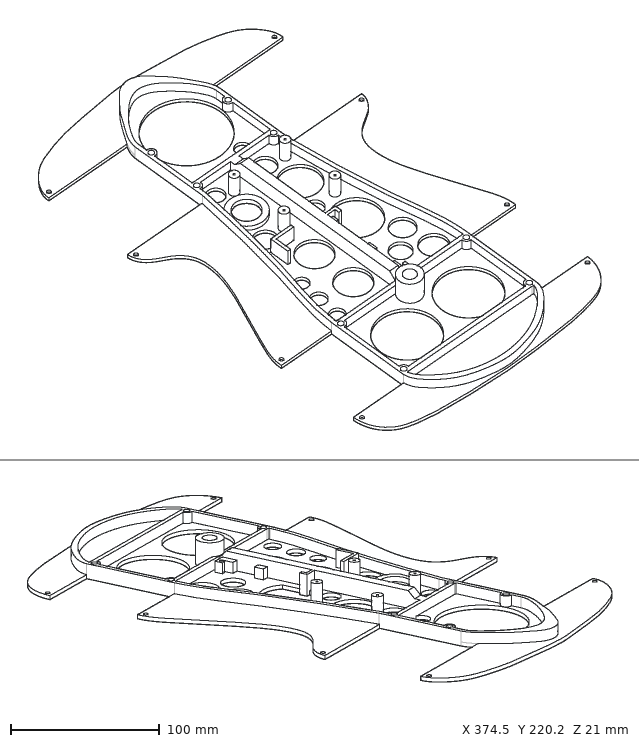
import cadquery as cq
length = 374.5
width = 220.0
plate_top = 3.0
pad_top = 6.7
rail_top = 11.0
spine_top = 15.7
post_top = 20.0
boss_top = 21.0

rear_end = -length / 2
front_end = length / 2
half_width = width / 2

rail_wall = 3.5
rear_half_width = 40.0
front_half_width = 63.0
taper_start_x = -68.0
taper_end_x = 79.5
taper_rises = [(-28.0, 5.0), (30.0, 15.0), (56.0, 20.5)]
rail_nose_x = -182.5
nose_start_x = -133.3
rail_bow_x = 185.7
nose_thickness = 11.2
bow_thickness = 4.5

rear_wing_edge_x = -144.5
mid_wing_rear_x = -69.0
mid_wing_front_x = 79.5
front_wing_edge_x = 148.5

pillar_diameter = 8.0
pillar_hole_diameter = 4.5
rear_pillar_xs = (-121.5, -78.0)
front_pillar_xs = (84.2, 145.0)
rear_cross_wall_x = -81.5
mid_cross_wall_x = 80.5
front_cross_wall_x = front_wing_edge_x - rail_wall
spine_thickness = 8.0
spine_rear_slope = (-74.0, -69.0)
spine_front_slope = (75.0, 79.7)

post_diameter = 8.0
post_hole_diameter = 1.4
post_hole_depth = 7.5
post_pitch = 48.0
post_center = (-37.5, 6.93)
boss_x = 90.2
boss_diameter = 19.5
boss_hole_diameter = 10.0
pad_diameter = 30.7
pad_pocket_diameter = 26.2
pad_center = (-40.5, -26.0)
corner_x, corner_y = -3.0, -39.5
corner_leg_x, corner_leg_y = 16.5, 19.0
corner_wall = 2.5

clip_rear_x, clip_front_x = 5.0, 78.0
clip_outer_y = 13.5
clip_slot = (9.0, 11.0)
clip_arm_wall = 2.2
clip_arm_length = 6.0
clip_rear_foot_length = 7.5
clip_front_foot_length = 11.5
stop_x, stop_length = 42.3, 7.0

tip_hole_diameter = 3.2
tip_hole_depth = 2.0
tip_hole_inset = 4.0

openings = [
    (*pad_center, 21.0),
    (-124.5, 0, 64.0),
    (-87.2, 16.0, 12.0),
    (-65.0, 15.7, 17.2),
    (-37.8, 22.0, 32.0),
    (-13.0, 12.0, 13.5),
    (42.0, 40.5, 19.5),
    (68.5, 43.8, 21.7),
    (57.0, 24.0, 17.0),
    (-67.8, -28.0, 14.0),
    (-14.2, -33.7, 18.0),
    (18.7, -20.0, 27.7),
    (56.0, -20.0, 27.7),
    (32.5, -45.3, 11.2),
    (51.3, -47.5, 12.7),
    (70.8, -49.0, 12.0),
    (117.0, 29.0, 49.0),
    (117.0, -29.0, 49.0),
]
flat_opening_x, flat_opening_y, flat_opening_diameter = 13.5, 24.7, 38.0
flat_opening_edge_y = 10.5


def box(x0, x1, y0, y1, z1):
    """Block standing on the underside level, up to height z1."""
    return cq.Workplane("XY").box(x1 - x0, y1 - y0, z1, centered=False).translate((x0, y0, 0))


def rod(x, y, diameter, z0, z1):
    return cq.Workplane("XY", origin=(x, y, z0)).circle(diameter / 2).extrude(z1 - z0)


def mirrored(points):
    """Same points on the -Y side, in reverse order."""
    return [(x, -y) for x, y in reversed(points)]


def end_wing(edge_x, tip_x, curve):
    """Wing pair closing one end; curve runs from the +Y tip towards the middle."""
    rim = [*curve, (tip_x, 0), *mirrored(curve)]
    return (
        cq.Workplane("XY")
        .moveTo(edge_x, half_width)
        .spline(rim + [(edge_x, -half_width)], includeCurrent=True)
        .close()
        .extrude(plate_top)
    )


def mid_wings():
    trailing_curve = [
        (70.5, 109.5), (56.5, 105.0), (36.0, 96.2), (15.5, 87.5), (-5.2, 80.5), (-22.5, 78.0),
        (-36.0, 80.0), (-46.5, 89.0), (-56.5, 104.5), (-63.3, 109.0),
    ]
    rear_tip = (mid_wing_rear_x, half_width)
    rear_corner = (mid_wing_rear_x, -half_width)
    front_corner = (mid_wing_front_x, -half_width)
    return (
        cq.Workplane("XY")
        .moveTo(mid_wing_front_x, half_width)
        .spline(trailing_curve + [rear_tip], includeCurrent=True)
        .lineTo(*rear_corner)
        .spline(mirrored(trailing_curve) + [front_corner], includeCurrent=True)
        .close()
        .extrude(plate_top)
    )


def body(inset, nose_x, nose_curve, bow_x, bow_curve, height):
    """Solid body outline; inset moves the sides towards the centre line."""
    rear_y = rear_half_width - inset
    front_y = front_half_width - inset
    taper = [(x, rear_y + rise) for x, rise in taper_rises] + [(taper_end_x, front_y)]
    nose = [*mirrored(nose_curve), (nose_x, 0), *nose_curve, (nose_start_x, rear_y)]
    bow = [*bow_curve, (bow_x, 0), *mirrored(bow_curve), (front_wing_edge_x, -front_y)]
    taper_back = mirrored([(taper_start_x, rear_y)] + taper[:-1])
    return (
        cq.Workplane("XY")
        .moveTo(nose_start_x, -rear_y)
        .spline(nose, includeCurrent=True)
        .lineTo(taper_start_x, rear_y)
        .spline(taper, includeCurrent=True)
        .lineTo(front_wing_edge_x, front_y)
        .spline(bow, includeCurrent=True)
        .lineTo(taper_end_x, -front_y)
        .spline(taper_back, includeCurrent=True)
        .close()
        .extrude(height)
    )


rear_wing_curve = [(-152.0, 109.0), (-160.0, 104.5), (-169.2, 94.7), (-176.7, 77.0), (-182.0, 54.3), (-185.0, 27.0)]
front_wing_curve = [(156.5, 109.0), (167.7, 103.7), (176.0, 94.5), (181.0, 80.0), (184.2, 58.8), (186.0, 31.5)]
nose_outer_curve = [(-181.0, 6.7), (-173.5, 15.7), (-161.0, 26.2), (-151.5, 32.2), (-142.0, 37.8), (-137.8, 39.3)]
nose_inner_curve = [(-168.5, 9.5), (-161.0, 19.0), (-151.5, 27.7), (-142.0, 34.0), (-137.8, 36.0)]
bow_outer_curve = [(154.2, 61.5), (161.7, 56.0), (176.7, 37.0), (183.0, 18.7)]
bow_inner_curve = [(154.2, 57.0), (160.0, 52.0), (174.0, 32.2), (179.7, 15.0)]

plate = end_wing(rear_wing_edge_x, rear_end, rear_wing_curve)
plate = plate.union(end_wing(front_wing_edge_x, front_end, front_wing_curve))
plate = plate.union(mid_wings())
plate = plate.union(
    body(0, rail_nose_x, nose_outer_curve, rail_bow_x, bow_outer_curve, plate_top)
)

plate = plate.union(rod(*pad_center, pad_diameter, 0, pad_top))
plate = plate.cut(rod(*pad_center, pad_pocket_diameter, 0, plate_top))

for x, y, diameter in openings:
    plate = plate.cut(rod(x, y, diameter, 0, pad_top))

flat_opening = rod(flat_opening_x, flat_opening_y, flat_opening_diameter, 0, plate_top)
flat_side = box(-length, length, -width, flat_opening_edge_y, plate_top)
plate = plate.cut(flat_opening.cut(flat_side))

rail = body(0, rail_nose_x, nose_outer_curve, rail_bow_x, bow_outer_curve, rail_top).cut(
    body(
        rail_wall,
        rail_nose_x + nose_thickness,
        nose_inner_curve,
        rail_bow_x - bow_thickness,
        bow_inner_curve,
        rail_top,
    )
)
part = plate.union(rail)

for x, half_span in [
    (rear_cross_wall_x, rear_half_width),
    (mid_cross_wall_x, front_half_width),
    (front_cross_wall_x, front_half_width),
]:
    inner_span = half_span - rail_wall / 2
    part = part.union(box(x, x + rail_wall, -inner_span, inner_span, rail_top))

spine = (
    cq.Workplane("XZ", origin=(0, spine_thickness / 2, 0))
    .polyline([
        (rear_cross_wall_x + rail_wall / 2, 0),
        (rear_cross_wall_x + rail_wall / 2, rail_top),
        (spine_rear_slope[0], rail_top),
        (spine_rear_slope[1], spine_top),
        (spine_front_slope[0], spine_top),
        (spine_front_slope[1], rail_top),
        (mid_cross_wall_x + rail_wall / 2, rail_top),
        (mid_cross_wall_x + rail_wall / 2, 0),
    ])
    .close()
    .extrude(spine_thickness)
)
part = part.union(spine)


def clip(outer_x, direction, foot_length, hook_height):
    """Low foot with an L-shaped hook over it, opening in the given X direction."""
    foot_end_y, slot_far_y = clip_slot
    arm_x = outer_x + direction * clip_arm_wall
    tip_x = outer_x + direction * clip_arm_length
    foot_x = outer_x + direction * foot_length
    hook = (
        cq.Workplane("XY")
        .polyline([
            (outer_x, 0), (outer_x, clip_outer_y), (tip_x, clip_outer_y), (tip_x, slot_far_y),
            (arm_x, slot_far_y), (arm_x, 0),
        ])
        .close()
        .extrude(hook_height)
    )
    foot = box(min(outer_x, foot_x), max(outer_x, foot_x), 0, foot_end_y, rail_top)
    return hook.union(foot)


part = part.union(clip(clip_rear_x, 1, clip_rear_foot_length, spine_top))
part = part.union(clip(clip_front_x, -1, clip_front_foot_length, rail_top))
part = part.union(box(stop_x, stop_x + stop_length, 0, clip_slot[0], rail_top))

part = part.union(box(corner_x, corner_x + corner_leg_x, corner_y, corner_y + corner_wall, spine_top))
part = part.union(box(corner_x, corner_x + corner_wall, corner_y, corner_y + corner_leg_y, spine_top))

pillars = [(x, rear_half_width - pillar_diameter / 2) for x in rear_pillar_xs]
pillars += [(x, front_half_width - pillar_diameter / 2) for x in front_pillar_xs]
for x, y in pillars + mirrored(pillars):
    part = part.union(rod(x, y, pillar_diameter, 0, rail_top))
    part = part.cut(rod(x, y, pillar_hole_diameter, 0, rail_top))

for dx in (-post_pitch / 2, post_pitch / 2):
    for dy in (-post_pitch / 2, post_pitch / 2):
        x, y = post_center[0] + dx, post_center[1] + dy
        part = part.union(rod(x, y, post_diameter, 0, post_top))
        part = part.cut(rod(x, y, post_hole_diameter, post_top - post_hole_depth, post_top))

part = part.union(rod(boss_x, 0, boss_diameter, 0, boss_top))
part = part.cut(rod(boss_x, 0, boss_hole_diameter, plate_top, boss_top))

tip_hole_xs = (
    rear_wing_edge_x - tip_hole_inset,
    mid_wing_rear_x + tip_hole_inset,
    mid_wing_front_x - tip_hole_inset,
    front_wing_edge_x + tip_hole_inset,
)
tip_hole_y = half_width - tip_hole_inset
for x in tip_hole_xs:
    for y in (-tip_hole_y, tip_hole_y):
        part = part.cut(rod(x, y, tip_hole_diameter, plate_top - tip_hole_depth, plate_top))

result = part